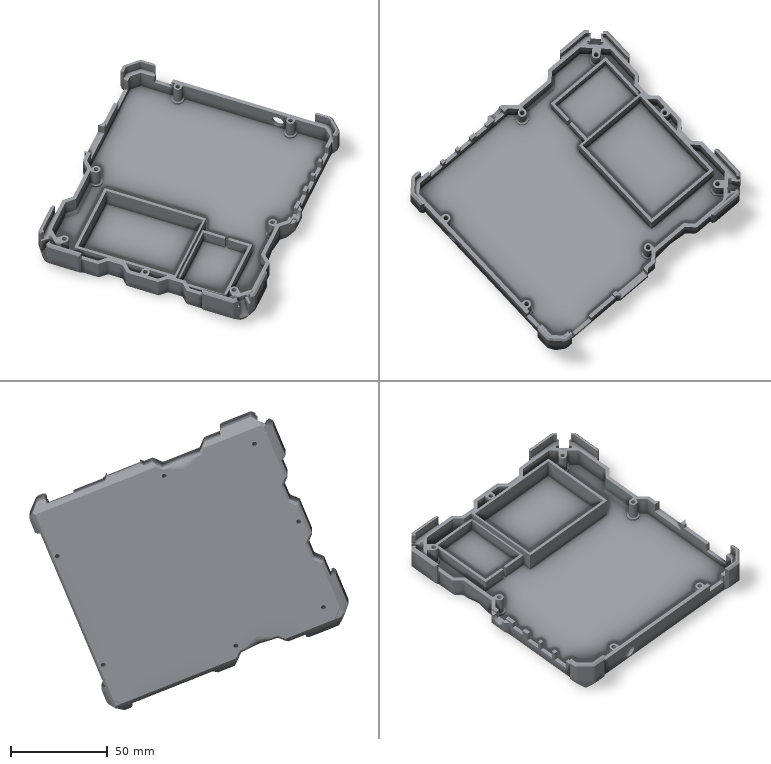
import cadquery as cq
import math

margin = 1.4

outer_width = 120.0
outer_length = 135.0
total_height = 17.5

bumper_thickness = 2.5
half_width = outer_width / 2 - bumper_thickness
half_length = outer_length / 2 - bumper_thickness
wall = 2.0
wall_top = 12.0
floor_top = 1.5
back_corner = 5.4
front_corner = 7.2
inner_half_width = half_width - wall
inner_half_length = half_length - wall

bevel_height_sides = 5.0
bevel_height_ends = 4.0
bevel_front_corner = 1.4
edge_chamfer = 1.2

waist_depth = 4.2
waist_center_y = -17.3
waist_straight = 20.4
waist_ramp = 1.6
waist_ramp_height = 1.9
scoop_radius = 5.0
scoop_half_length = 8.9

recess_depth = 3.9
recess_center_x = 16.6
recess_floor_width = 8.1
outline_radius = 1.4

bumper_gap = 0.5
bumper_chamfer = 1.01
front_bumper_end_x = 33.5
front_bumper_end_y = 41.0
back_bumper_end_x = 44.4
back_bumper_end_y = 55.8
back_bumper_radius = 2.7

inner_front_corner = 11.1
slot_width = 5.3
rim_gap_width = 7.3
slot_depth = 6.2
slot_back_height = 3.1
slot_outer_bottom = 2.7
pocket_width = 8.4

post_diameter = 4.5
foot_diameter = 6.6
foot_height = 1.1
screw_diameter = 2.4
posts = [
    (-30.1, 61.3, 90),
    (32.4, 61.3, 90),
    (-47.0, -55.5, 225),
    (47.0, -55.5, 315),
    (0, -60.9, 270),
]
post_web_length = 5.4
waist_post_x = 48.9
waist_post_y = -6.0

rib = 1.5
compartment_front_y = recess_depth + wall - half_length
large_left_x = -40.1
large_right_x = 16.0
large_back_y = -16.0
large_right_rib = 1.1
small_right_x = 43.6
small_back_y = -21.0
small_top = 8.5
small_left_rib = 1.0
slit_x = 29.8
slit_width = 1.8

left_ports = [(41.0, 55.4, 4.7), (24.6, 41.0, 9.7), (3.4, 22.1, 6.8)]
right_ports = [(43.0, 51.3, 7.2), (32.8, 41.0, 7.2), (23.2, 30.9, 7.2), (12.4, 19.7, 8.8), (0.5, 7.3, 7.2)]
back_port_x = -38.9
back_port_width = 9.6
back_port_sill = 7.5
jack_x = 24.6
jack_z = 5.8
jack_diameter = 6.6

left_bulge = 1.5
left_bulge_start = 3.2
left_bulge_end = 22.1
right_bulge = 2.0
right_bulge_start = -1.0
right_bulge_end = 8.4
right_bulge_top = 11.0
knob_radius = 3.4


def box(x0, x1, y0, y1, z0, z1):
    return cq.Workplane("XY").box(x1 - x0, y1 - y0, z1 - z0, centered=False).translate((x0, y0, z0))


def prism(points, z0, z1):
    return cq.Workplane("XY").workplane(offset=z0).polyline(points).close().extrude(z1 - z0)


def mirrored_pair(solid):
    return solid.union(solid.mirror("YZ"))


def octagon(grow):
    """Corners of the body rectangle with cut corners, moved outward by grow."""
    x = half_width + grow
    y = half_length + grow
    corner_growth = grow * (2 - math.sqrt(2))
    back = back_corner + corner_growth
    front = front_corner + corner_growth
    right = [(x - front, -y), (x, front - y), (x, y - back), (x - back, y)]
    left = [(-px, py) for px, py in reversed(right)]
    return right + left


def waist_trapezoid(grow):
    """Outline of the right-hand finger waist, from the wall line inward, moved inward by grow."""
    shift = grow * math.tan(math.pi / 8)
    half_floor = waist_straight / 2 + shift
    floor_x = half_width - waist_depth - grow
    rim_x = half_width + margin
    half_rim = half_floor + rim_x - floor_x
    return [
        (rim_x, waist_center_y - half_rim),
        (floor_x, waist_center_y - half_floor),
        (floor_x, waist_center_y + half_floor),
        (rim_x, waist_center_y + half_rim),
    ]


def recess_trapezoid(center_x, grow):
    """Outline of a front recess, from the wall line inward, moved inward by grow."""
    half_floor = recess_floor_width / 2 + grow * math.tan(math.pi / 8)
    floor_y = recess_depth + grow - half_length
    rim_y = -half_length - margin
    half_rim = half_floor + floor_y - rim_y
    return [
        (center_x - half_rim, rim_y),
        (center_x - half_floor, floor_y),
        (center_x + half_floor, floor_y),
        (center_x + half_rim, rim_y),
    ]


def notched_body(inset, z0, z1):
    """Body outline moved inward by inset, with its waists and front recesses."""
    body = prism(octagon(-inset), z0, z1)
    body = body.cut(mirrored_pair(prism(waist_trapezoid(inset), z0, z1)))
    return body.cut(mirrored_pair(prism(recess_trapezoid(recess_center_x, inset), z0, z1)))


def outer_body():
    body = notched_body(0, 0, wall_top)
    side_reach = half_width - front_corner - margin
    waist_reach = waist_straight / 2 + waist_depth + margin

    def borders_notch(edge):
        place = edge.Center()
        on_recess = abs(place.x) < side_reach and place.y < 0
        return on_recess or abs(place.y - waist_center_y) < waist_reach

    rounded = body.edges("|Z").filter(borders_notch)
    body = body.newObject(rounded.vals()).fillet(outline_radius)
    return body.faces("<Z").chamfer(edge_chamfer)


def side_bulge(start, end, thickness, top):
    """Widening of the right-hand wall with 45 degree ends."""
    x = half_width
    root = wall / 2
    return prism(
        [
            (x - root, start - thickness - root),
            (x + thickness, start),
            (x + thickness, end),
            (x - root, end + thickness + root),
        ],
        0,
        top,
    )


def bumpers():
    ring = prism(octagon(bumper_thickness), 0, total_height)
    back_edges = ring.edges("|Z").filter(lambda edge: edge.Center().y > 0)
    ring = ring.newObject(back_edges.vals()).fillet(back_bumper_radius)
    ring = ring.faces(">Z").chamfer(bumper_chamfer)
    ring = ring.cut(prism(octagon(-wall / 2), 0, wall_top))
    ring = ring.cut(prism(octagon(bumper_gap), wall_top, total_height))

    def corner(end_x, end_y, side):
        x = outer_width / 2
        y = outer_length / 2
        c = bumper_chamfer
        points = [
            (end_x, end_y),
            (end_x, y - c),
            (end_x + c, y),
            (x, y),
            (x, end_y + c),
            (x - c, end_y),
        ]
        return prism([(px, side * py) for px, py in points], 0, total_height)

    corners = corner(front_bumper_end_x, front_bumper_end_y, -1)
    corners = corners.union(corner(back_bumper_end_x, back_bumper_end_y, 1))
    return ring.intersect(mirrored_pair(corners))


def bevel_envelope():
    """Block that widens upward at 45 degrees, with cut front corners."""

    def section(height):
        x = outer_width / 2 - bevel_height_sides + height
        y = outer_length / 2 - bevel_height_ends + height
        cut = bevel_front_corner + height * (2 - math.sqrt(2))
        return [(x, y), (-x, y), (-x, cut - y), (cut - x, -y), (x - cut, -y), (x, cut - y)]

    base = cq.Workplane("XY").polyline(section(0)).close()
    return base.workplane(offset=total_height).polyline(section(total_height)).close().loft(ruled=True)


def waist_scoop():
    """Rounding under the right-hand waist, widest in its middle."""
    wall_x = half_width - waist_depth

    def section(plane, radius):
        bow = radius * (1 - math.sqrt(0.5))
        return (
            plane.moveTo(wall_x, 0)
            .lineTo(wall_x - radius, 0)
            .threePointArc((wall_x - bow, bow), (wall_x, radius))
            .close()
        )

    half = section(cq.Workplane("XZ", origin=(0, waist_center_y, 0)), scoop_radius)
    half = section(half.workplane(offset=scoop_half_length), edge_chamfer).loft(ruled=True)
    other = half.mirror("XZ", (0, waist_center_y, 0))
    return half.union(other)


def waist_ramps():
    """Sloped foot along the inner side of the right-hand waist."""
    slope_angle = math.degrees(math.atan2(waist_ramp, waist_ramp_height))
    slope = (
        cq.Workplane("XY")
        .workplane(offset=floor_top)
        .polyline(waist_trapezoid(wall + waist_ramp))
        .close()
        .extrude(waist_ramp_height, taper=slope_angle)
    )
    return slope.intersect(box(0, half_width, -half_length, waist_post_y, 0, wall_top))


def post(x, y, direction, diameter, height):
    web = cq.Workplane("XY").box(post_web_length, diameter, height, centered=(False, True, False))
    solid = cq.Workplane("XY").circle(diameter / 2).extrude(height).union(web)
    return solid.rotate((0, 0, 0), (0, 0, 1), direction).translate((x, y, 0))


def waist_post(diameter, height):
    """Right-hand waist post with a web filling the gap between its front half and the wall."""
    x = waist_post_x
    y = waist_post_y
    web = box(x, x + post_web_length, y - diameter / 2, y, 0, height)
    return cq.Workplane("XY").center(x, y).circle(diameter / 2).extrude(height).union(web)


def compartments():
    front = compartment_front_y
    large = box(large_left_x, large_right_x, front, large_back_y, 0, wall_top)
    large = large.cut(
        box(large_left_x + rib, large_right_x - large_right_rib, front + rib, large_back_y - rib, 0, wall_top)
    )
    small = box(large_right_x, small_right_x, front, small_back_y, 0, small_top)
    small = small.cut(
        box(large_right_x + small_left_rib, small_right_x - rib, front + rib, small_back_y - rib, 0, small_top)
    )
    half_slit = slit_width / 2
    slit = box(slit_x - half_slit, slit_x + half_slit, small_back_y - rib, small_back_y, floor_top, small_top)
    return large.union(small.cut(slit))


def corner_block():
    """Solid filling of the right front corner behind the strap slot."""
    x = inner_half_width
    y = -inner_half_length
    return prism([(x - inner_front_corner, y), (x, y), (x, y + inner_front_corner)], 0, wall_top)


def at_front_corner(solid):
    """Moves a solid whose +X axis points outward from the origin to the right front corner face."""
    corner = front_corner + bumper_thickness * (2 - math.sqrt(2))
    x = (outer_width - corner) / 2
    y = (corner - outer_length) / 2
    return solid.rotate((0, 0, 0), (0, 0, 1), -45).translate((x, y, 0))


def strap_slot():
    """Slot down the right front corner, with a wider pocket behind the wall and a gap in the rim."""
    back_z = wall_top - slot_back_height
    profile = [
        (-slot_depth, total_height),
        (-slot_depth, back_z),
        (0, slot_outer_bottom),
        (margin, slot_outer_bottom),
        (margin, total_height),
    ]
    slot = cq.Workplane("XZ").polyline(profile).close().extrude(slot_width / 2, both=True)
    half_gap = rim_gap_width / 2
    slot = slot.union(box(-slot_depth, margin, -half_gap, half_gap, wall_top, total_height))
    half_top = pocket_width / 2
    half_bottom = slot_width / 2
    pocket = (
        cq.Workplane("YZ", origin=(-slot_depth, 0, 0))
        .polyline([(-half_top, wall_top), (-half_bottom, back_z), (half_bottom, back_z), (half_top, wall_top)])
        .close()
        .extrude(slot_depth)
    )
    inner_outline = prism(octagon(-wall), 0, total_height)
    return at_front_corner(slot).union(at_front_corner(pocket).intersect(inner_outline))


shell = outer_body()
shell = shell.union(side_bulge(right_bulge_start, right_bulge_end, right_bulge, right_bulge_top))
shell = shell.union(side_bulge(left_bulge_start, left_bulge_end, left_bulge, wall_top).mirror("YZ"))
shell = shell.union(bumpers())
shell = shell.intersect(bevel_envelope())
shell = shell.cut(notched_body(wall, floor_top, wall_top))

inside = waist_ramps().union(corner_block())
inside = inside.union(waist_post(foot_diameter, floor_top + foot_height))
inside = inside.union(waist_post(post_diameter, wall_top))
inside = mirrored_pair(inside)
for x, y, direction in posts:
    inside = inside.union(post(x, y, direction, foot_diameter, floor_top + foot_height))
    inside = inside.union(post(x, y, direction, post_diameter, wall_top))
inside = inside.union(compartments())
inside = inside.intersect(notched_body(wall / 2, floor_top / 2, wall_top))
result = shell.union(inside)

result = result.cut(mirrored_pair(waist_scoop()))
result = result.cut(mirrored_pair(strap_slot()))
screw_places = [(x, y) for x, y, direction in posts]
screw_places += [(-waist_post_x, waist_post_y), (waist_post_x, waist_post_y)]
result = result.cut(cq.Workplane("XY").pushPoints(screw_places).circle(screw_diameter / 2).extrude(wall_top))
for start, end, sill in left_ports:
    result = result.cut(box(-outer_width / 2, -inner_half_width, start, end, sill, wall_top))
for start, end, sill in right_ports:
    result = result.cut(box(inner_half_width, half_width, start, end, sill, wall_top))
knob_start, knob_end, knob_sill = right_ports[-1]
knob = cq.Workplane("YZ").center((knob_start + knob_end) / 2, knob_sill + knob_radius).circle(knob_radius)
result = result.cut(knob.extrude(outer_width))
port_left = back_port_x - back_port_width / 2
port_right = port_left + back_port_width
result = result.cut(box(port_left, port_right, inner_half_length, half_length, back_port_sill, wall_top))
jack = cq.Workplane("XZ").center(jack_x, jack_z).circle(jack_diameter / 2).extrude(-outer_length)
result = result.cut(jack)